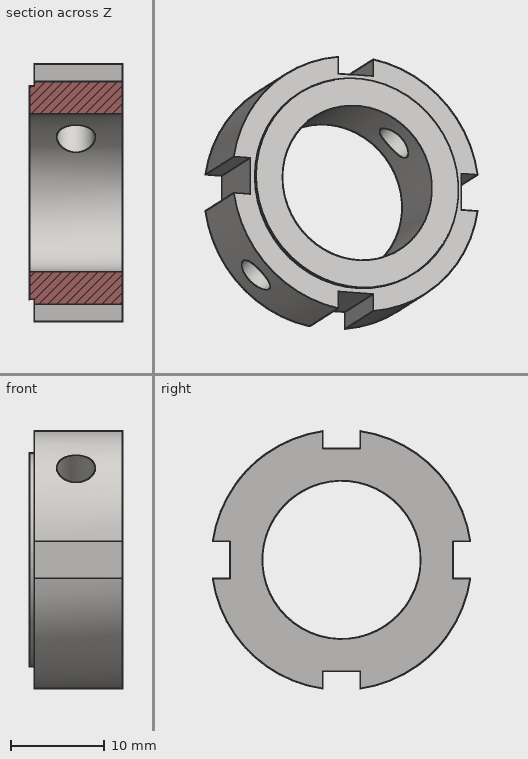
import cadquery as cq
import math

total_length = 10.0
collar_length = 0.5
collar_diameter = 23.0
bore_diameter = 17.0

slot_count = 4
slot_width = 4.0
slot_floor_radius = 12.0

width_across_slots = 27.7
rim_radius = math.hypot(width_across_slots / 2, slot_width / 2)

cross_hole_diameter = 4.13
cross_hole_x = total_length / 2
cross_hole_angle = 180 / slot_count


def make_body():
    collar = cq.Workplane("YZ").circle(collar_diameter / 2).extrude(total_length)
    rim = (
        cq.Workplane("YZ")
        .workplane(offset=collar_length)
        .circle(rim_radius)
        .extrude(total_length - collar_length)
    )
    return collar.union(rim)


def make_slot(angle):
    cutter = cq.Workplane("XY").box(
        total_length, slot_width, rim_radius, centered=(False, True, False)
    )
    cutter = cutter.translate((collar_length, 0, slot_floor_radius))
    return cutter.rotate((0, 0, 0), (1, 0, 0), angle)


def make_cross_hole():
    drill = (
        cq.Workplane("XY")
        .center(cross_hole_x, 0)
        .circle(cross_hole_diameter / 2)
        .extrude(2 * rim_radius, both=True)
    )
    return drill.rotate((0, 0, 0), (1, 0, 0), cross_hole_angle)


bore = cq.Workplane("YZ").circle(bore_diameter / 2).extrude(total_length)
result = make_body().cut(bore)
for slot in range(slot_count):
    result = result.cut(make_slot(slot * 360 / slot_count))
result = result.cut(make_cross_hole())